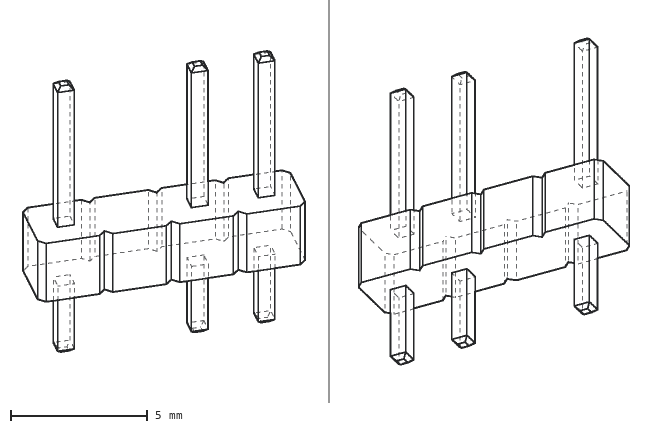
import cadquery as cq

pitch = 2.54
cell_count = 4
body_height = 2.54
corner_chamfer = 0.25
pin_cells = (0, 2, 3)

total_height = 11.54
tail_length = 3.0
pin_width = 0.63
pin_tip_chamfer = 0.16

body_bottom = tail_length - total_height / 2


def cell_center_y(index):
    """Y position of a cell, counted from the -Y end."""
    return (index - (cell_count - 1) / 2) * pitch


def make_cell(index):
    """One body block; neighbouring corner chamfers form the V notches."""
    return (
        cq.Workplane("XY")
        .box(pitch, pitch, body_height, centered=(True, True, False))
        .edges("|Z")
        .chamfer(corner_chamfer)
        .translate((0, cell_center_y(index), body_bottom))
    )


def make_pin(index):
    """One full-height pin with chamfered tips."""
    return (
        cq.Workplane("XY")
        .box(pin_width, pin_width, total_height)
        .faces("<Z or >Z")
        .chamfer(pin_tip_chamfer)
        .translate((0, cell_center_y(index), 0))
    )


result = make_cell(0)
for cell in range(1, cell_count):
    result = result.union(make_cell(cell))
for cell in pin_cells:
    result = result.union(make_pin(cell))
result = result.clean()